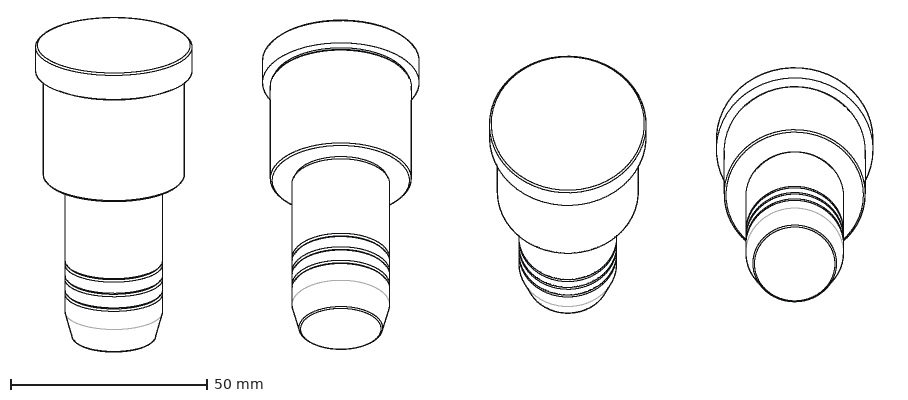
import cadquery as cq
import math

total_height = 80.0
head_radius = 20.0
head_height = 7.0
body_radius = 18.0
body_bottom = 44.0
shank_radius = 12.5
taper_height = 7.0
taper_angle = 15.0
tip_chamfer = 0.3
edge_size = 0.5
shank_relief_height = 1.0
groove_count = 3
groove_pitch = 4.0
lowest_groove = 12.5

head_bottom = total_height - head_height
shank_top = body_bottom - shank_relief_height
tip_radius = shank_radius - taper_height * math.tan(math.radians(taper_angle))


def groove_outline(center):
    """V-groove points on the shank, listed upwards as (radius, height)."""
    return [
        (shank_radius, center - edge_size),
        (shank_radius - edge_size, center),
        (shank_radius, center + edge_size),
    ]


tip = [
    (0, 0),
    (tip_radius - tip_chamfer, 0),
    (tip_radius + tip_chamfer * math.tan(math.radians(taper_angle)), tip_chamfer),
    (shank_radius, taper_height),
]

grooves = []
for index in range(groove_count):
    grooves += groove_outline(lowest_groove + index * groove_pitch)

shank_relief = [
    (shank_radius, shank_top),
    (shank_radius - edge_size, shank_top),
    (shank_radius - edge_size, body_bottom),
]

body = [
    (body_radius - edge_size, body_bottom),
    (body_radius, body_bottom + edge_size),
    (body_radius, head_bottom - 2 * edge_size),
    (body_radius - edge_size, head_bottom - edge_size),
    (body_radius - edge_size, head_bottom),
]

head = [
    (head_radius, head_bottom),
    (head_radius, total_height - edge_size),
    (head_radius - edge_size, total_height),
    (0, total_height),
]

profile = cq.Workplane("XZ").polyline(tip + grooves + shank_relief + body + head).close()
result = profile.revolve(360, (0, 0, 0), (0, 1, 0))